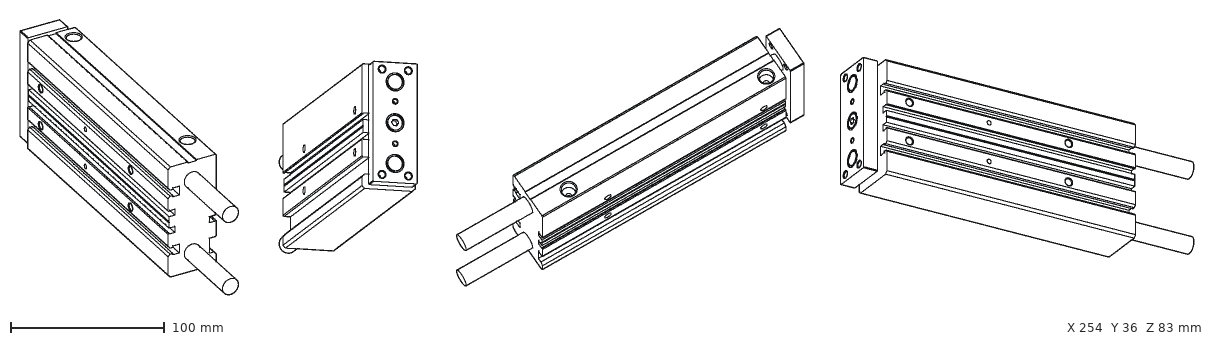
import cadquery as cq
import math

LENGTH = 254.0
PLATE_THICKNESS = 10.5
PLATE_WIDTH = 30.0
PLATE_HEIGHT = 80.0
PLATE_CHAMFER = 0.5
HOUSING_START = 15.7
HOUSING_END = 203.0
HOUSING_WIDTH = 36.0
HOUSING_HEIGHT = 83.0
HALF_WIDTH = HOUSING_WIDTH / 2
HALF_HEIGHT = HOUSING_HEIGHT / 2

GUIDE_DIAMETER = 12.0
GUIDE_OFFSET = 27.2
NECK_DIAMETER = 10.0
PISTON_DIAMETER = 9.0
PISTON_END = 177.8
RIM_RECESS_DIAMETER = 12.0
RIM_RECESS_DEPTH = 0.8
HEX_ACROSS_FLATS = 4.0
HEX_DEPTH = 3.8
SEAL_DIAMETER = 10.2
SEAL_LENGTH = 0.5

SCREW_SPACING_Y = 17.8
SCREW_SPACING_Z = 70.0
SCREW_DIAMETER = 4.3
SCREW_RIM_DIAMETER = 5.3
PLATE_DOWEL_SPACING = 28.2
PLATE_DOWEL_DIAMETER = 3.0
PLATE_DOWEL_RIM_DIAMETER = 3.8
PLATE_DOWEL_DEPTH = 6.0

CORNER_CHAMFER = 1.8
TOP_BACK_CHAMFER = 0.8

TOP_GROOVE_WIDTH = 6.4
TOP_GROOVE_DEPTH = 0.8

T_SLOT_OFFSET = 21.8
T_NECK_WIDTH = 4.5
T_NECK_DEPTH = 3.5
T_HEAD_WIDTH = 6.5
T_SLOT_DEPTH = 8.5
T_SLOT_CHAMFER = 1.5

RIB_WIDTH = 8.6
RIB_RECESS = 0.8
RIB_NOTCH_WIDTH = 1.0
RIB_NOTCH_DEPTH = 0.3
SENSOR_SLOT_WIDTH = 3.8
SENSOR_SLOT_DEPTH = 5.0
SENSOR_LIP = 0.64

BACK_SLOT_TOP = -20.5
BACK_SLOT_BOTTOM = -31.8
BACK_SLOT_DEPTH = 5.0
BACK_SLOT_TOP_CHAMFER = 0.8
BACK_SLOT_BOTTOM_CHAMFER = 2.0

MOUNT_X = (32.8, 152.7)
MOUNT_SPACING_Z = 28.0
MOUNT_DIAMETER = 4.8
MOUNT_RIM_DIAMETER = 5.8
DOWEL_X = sum(MOUNT_X) / len(MOUNT_X)
DOWEL_DIAMETER = 3.0
DOWEL_DEPTH = 6.0

PORT_X = (26.2, 178.0)
PORT_Y = 10.5
PORT_DIAMETER = 11.2
PORT_RIM_CHAMFER = 0.8
PORT_DEPTH = 7.5
PORT_BORE_DIAMETER = 3.8
PORT_BORE_DEPTH = 14.0

OVERCUT = 2.5


def rod_along_x(diameter, start, end, z=0.0):
    """Cylinder along X from start to end, at Y = 0 and the given Z."""
    return cq.Workplane("YZ", origin=(start, 0, z)).circle(diameter / 2).extrude(end - start)


def cone(rim, tip, height, origin, direction):
    """Tapered cutter from radius rim at origin to radius tip, along direction."""
    solid = cq.Solid.makeCone(rim, tip, height, cq.Vector(*origin), cq.Vector(*direction))
    return cq.Workplane(obj=solid)


def bevel(rim_diameter, hole_diameter, origin, direction):
    """45-degree cutter that breaks the mouth of a round hole."""
    depth = (rim_diameter - hole_diameter) / 2
    return cone(rim_diameter / 2, hole_diameter / 2, depth, origin, direction)


def lengthwise(points):
    """Prism along the whole housing from an outline of (y, z) points."""
    outline = cq.Workplane("YZ", origin=(HOUSING_START, 0, 0)).polyline(points).close()
    return outline.extrude(HOUSING_END - HOUSING_START)


def housing_block():
    points = [
        (-HALF_WIDTH, -HALF_HEIGHT + CORNER_CHAMFER),
        (-HALF_WIDTH + CORNER_CHAMFER, -HALF_HEIGHT),
        (HALF_WIDTH - CORNER_CHAMFER, -HALF_HEIGHT),
        (HALF_WIDTH, -HALF_HEIGHT + CORNER_CHAMFER),
        (HALF_WIDTH, HALF_HEIGHT - TOP_BACK_CHAMFER),
        (HALF_WIDTH - TOP_BACK_CHAMFER, HALF_HEIGHT),
        (-HALF_WIDTH + CORNER_CHAMFER, HALF_HEIGHT),
        (-HALF_WIDTH, HALF_HEIGHT - CORNER_CHAMFER),
    ]
    return lengthwise(points)


def top_groove():
    half = TOP_GROOVE_WIDTH / 2
    floor = HALF_HEIGHT - TOP_GROOVE_DEPTH
    top = HALF_HEIGHT + OVERCUT
    return lengthwise([(-half, floor), (half, floor), (half, top), (-half, top)])


def t_slot(z):
    """T-slot with a chamfered mouth, open to the front face."""
    neck = T_NECK_WIDTH / 2
    head = T_HEAD_WIDTH / 2
    mouth = neck + T_SLOT_CHAMFER
    face = -HALF_WIDTH
    half_outline = [
        (face - OVERCUT, mouth),
        (face, mouth),
        (face + T_SLOT_CHAMFER, neck),
        (face + T_NECK_DEPTH, neck),
        (face + T_NECK_DEPTH, head),
        (face + T_SLOT_DEPTH, head),
    ]
    upper = [(y, z + offset) for y, offset in half_outline]
    lower = [(y, z - offset) for y, offset in reversed(half_outline)]
    return lengthwise(upper + lower)


def sensor_slot(side, end):
    """Slot beside the centre rib with an undercut lip; side is the sign of Y, end the sign of Z."""
    rib = RIB_WIDTH / 2
    lip = rib + SENSOR_SLOT_WIDTH
    wall = lip + SENSOR_LIP
    outline = [
        (HALF_WIDTH + OVERCUT, rib),
        (HALF_WIDTH - SENSOR_SLOT_DEPTH, rib),
        (HALF_WIDTH - SENSOR_SLOT_DEPTH, wall),
        (HALF_WIDTH - 2 * SENSOR_LIP, wall),
        (HALF_WIDTH - SENSOR_LIP, lip),
        (HALF_WIDTH, wall),
        (HALF_WIDTH + OVERCUT, wall),
    ]
    return lengthwise([(side * y, end * z) for y, z in outline])


def rib_recess(side):
    """Lowers the centre rib below the outer face and notches its middle."""
    half = RIB_WIDTH / 2
    notch = RIB_NOTCH_WIDTH / 2
    face = HALF_WIDTH - RIB_RECESS
    outline = [
        (HALF_WIDTH + OVERCUT, -half),
        (face, -half),
        (face, -notch),
        (face - RIB_NOTCH_DEPTH, 0),
        (face, notch),
        (face, half),
        (HALF_WIDTH + OVERCUT, half),
    ]
    return lengthwise([(side * y, z) for y, z in outline])


def back_slot():
    """Wide slot in the lower back face with chamfered edges."""
    floor = HALF_WIDTH - BACK_SLOT_DEPTH
    top_edge = BACK_SLOT_TOP + BACK_SLOT_TOP_CHAMFER
    bottom_edge = BACK_SLOT_BOTTOM - BACK_SLOT_BOTTOM_CHAMFER
    return lengthwise([
        (HALF_WIDTH + OVERCUT, top_edge),
        (HALF_WIDTH, top_edge),
        (HALF_WIDTH - BACK_SLOT_TOP_CHAMFER, BACK_SLOT_TOP),
        (floor, BACK_SLOT_TOP),
        (floor, BACK_SLOT_BOTTOM),
        (HALF_WIDTH - BACK_SLOT_BOTTOM_CHAMFER, BACK_SLOT_BOTTOM),
        (HALF_WIDTH, bottom_edge),
        (HALF_WIDTH + OVERCUT, bottom_edge),
    ])


def front_hole(x, z, diameter, depth):
    """Hole cutter from the front face toward +Y."""
    plane = cq.Workplane("XZ", origin=(x, -HALF_WIDTH, z))
    return plane.circle(diameter / 2).extrude(-depth)


def port(x):
    """Air port in the top: chamfered rim, straight wall, conical floor and a narrow bore below."""
    wall = PORT_DIAMETER / 2 - PORT_RIM_CHAMFER
    bore = PORT_BORE_DIAMETER / 2
    down = (0, 0, -1)
    center = cq.Workplane("XY", origin=(x, PORT_Y, HALF_HEIGHT))
    mouth = bevel(PORT_DIAMETER, 2 * wall, (x, PORT_Y, HALF_HEIGHT), down)
    floor = cone(wall, bore, wall - bore, (x, PORT_Y, HALF_HEIGHT - PORT_DEPTH), down)
    cutter = center.circle(wall).extrude(-PORT_DEPTH).union(mouth).union(floor)
    return cutter.union(center.circle(bore).extrude(-PORT_BORE_DEPTH))


def make_housing():
    body = housing_block().cut(top_groove()).cut(back_slot())
    for end in (-1, 1):
        body = body.cut(t_slot(end * T_SLOT_OFFSET))
    for side in (-1, 1):
        body = body.cut(rib_recess(side))
        for end in (-1, 1):
            body = body.cut(sensor_slot(side, end))
    for z in (-MOUNT_SPACING_Z / 2, MOUNT_SPACING_Z / 2):
        body = body.cut(front_hole(DOWEL_X, z, DOWEL_DIAMETER, DOWEL_DEPTH))
        for x in MOUNT_X:
            body = body.cut(front_hole(x, z, MOUNT_DIAMETER, HOUSING_WIDTH))
            mouth = (x, -HALF_WIDTH, z)
            body = body.cut(bevel(MOUNT_RIM_DIAMETER, MOUNT_DIAMETER, mouth, (0, 1, 0)))
    for x in PORT_X:
        body = body.cut(port(x))
    body = body.union(rod_along_x(SEAL_DIAMETER, HOUSING_START - SEAL_LENGTH, HOUSING_START + SEAL_LENGTH))
    for z in (-GUIDE_OFFSET, GUIDE_OFFSET):
        body = body.cut(rod_along_x(GUIDE_DIAMETER, 0, LENGTH, z))
    return body.cut(rod_along_x(PISTON_DIAMETER, 0, PISTON_END))


def make_plate():
    body = cq.Workplane("XY").box(PLATE_THICKNESS, PLATE_WIDTH, PLATE_HEIGHT, centered=(False, True, True))
    body = body.edges("|X").chamfer(PLATE_CHAMFER)
    for y in (-SCREW_SPACING_Y / 2, SCREW_SPACING_Y / 2):
        for z in (-SCREW_SPACING_Z / 2, SCREW_SPACING_Z / 2):
            hole = cq.Workplane("YZ", origin=(0, y, z)).circle(SCREW_DIAMETER / 2).extrude(PLATE_THICKNESS)
            body = body.cut(hole).cut(bevel(SCREW_RIM_DIAMETER, SCREW_DIAMETER, (0, y, z), (1, 0, 0)))
    for z in (-PLATE_DOWEL_SPACING / 2, PLATE_DOWEL_SPACING / 2):
        body = body.cut(rod_along_x(PLATE_DOWEL_DIAMETER, 0, PLATE_DOWEL_DEPTH, z))
        body = body.cut(bevel(PLATE_DOWEL_RIM_DIAMETER, PLATE_DOWEL_DIAMETER, (0, 0, z), (1, 0, 0)))
        body = body.cut(bevel(PLATE_DOWEL_DIAMETER, 0, (PLATE_DOWEL_DEPTH, 0, z), (1, 0, 0)))
    for z in (-GUIDE_OFFSET, 0, GUIDE_OFFSET):
        body = body.cut(rod_along_x(NECK_DIAMETER, 0, PLATE_THICKNESS, z))
        body = body.cut(rod_along_x(RIM_RECESS_DIAMETER, 0, RIM_RECESS_DEPTH, z))
    return body


def make_guide_rod(z):
    """Guide rod whose reduced neck fills the plate hole."""
    neck = rod_along_x(NECK_DIAMETER, 0, PLATE_THICKNESS, z)
    return neck.union(rod_along_x(GUIDE_DIAMETER, PLATE_THICKNESS, LENGTH, z))


def make_piston_rod():
    """Piston rod with a hex socket in the end that fills the plate hole."""
    across_corners = HEX_ACROSS_FLATS / math.cos(math.pi / 6)
    socket = cq.Workplane("YZ").polygon(6, across_corners).extrude(HEX_DEPTH)
    neck = rod_along_x(NECK_DIAMETER, 0, PLATE_THICKNESS)
    return neck.union(rod_along_x(PISTON_DIAMETER, PLATE_THICKNESS, PISTON_END)).cut(socket)


housing = make_housing()
plate = make_plate()
piston_rod = make_piston_rod()
guide_rods = [make_guide_rod(z) for z in (-GUIDE_OFFSET, GUIDE_OFFSET)]

result = cq.Compound.makeCompound([
    housing.val(),
    plate.val(),
    piston_rod.val(),
    *[rod.val() for rod in guide_rods],
])